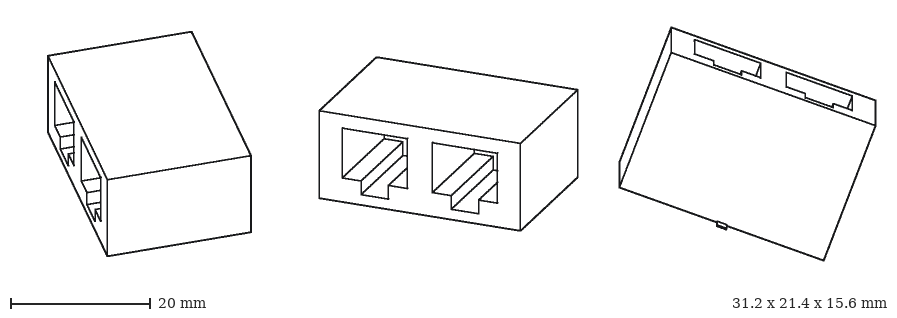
import cadquery as cq

width = 31.18
depth = 21.35
total_height = 15.62
pin_length = 2.03
body_height = total_height - pin_length

jack_spacing = 13.97
jack_width = 10.07
jack_height = 7.73
jack_top_margin = 2.12
keyway_width = 4.25
keyway_height = 2.12
jack_depth = 15.6

pin_width = 1.45
pin_thickness = 0.2

front_y = -depth / 2
back_y = depth / 2
jack_floor_z = body_height - jack_top_margin - jack_height


def block(size_x, size_y, size_z, center_x, start_y, start_z):
    """Box centred in X, growing toward +Y and +Z from its start position."""
    return cq.Workplane("XY").box(size_x, size_y, size_z, centered=(True, False, False)).translate(
        (center_x, start_y, start_z)
    )


def jack_cavity(center_x):
    """Blind T-shaped socket: a wide opening with a narrow keyway below it."""
    opening = block(jack_width, jack_depth, jack_height, center_x, front_y, jack_floor_z)
    keyway = block(
        keyway_width, jack_depth, keyway_height, center_x, front_y, jack_floor_z - keyway_height
    )
    return opening.union(keyway)


housing = block(width, depth, body_height, 0, front_y, 0)
for side in (-1, 1):
    housing = housing.cut(jack_cavity(side * jack_spacing / 2))

pin = block(pin_width, pin_thickness, pin_length, 0, back_y - pin_thickness, -pin_length)
result = housing.union(pin)